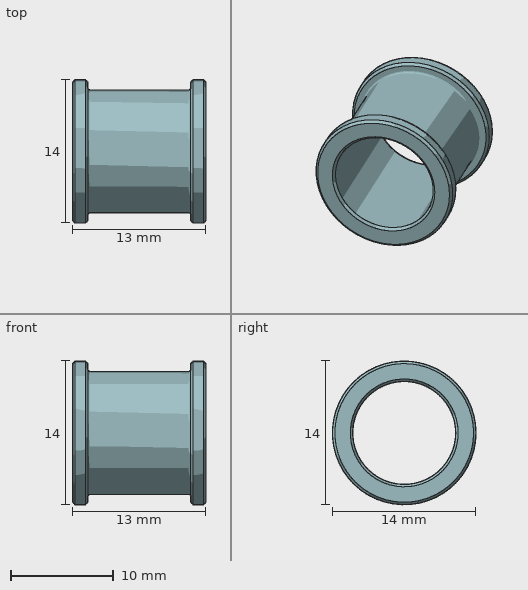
import cadquery as cq

length = 13.0
flange_diameter = 14.0
flange_width = 1.5
barrel_diameter = 12.0
bore_diameter = 10.0
flange_chamfer = 0.25
bore_chamfer = 0.25
root_fillet = 0.2
tolerance = 1e-6


def cylinder_along_x(diameter, width, start):
    """Solid cylinder of the given width, starting at x = start."""
    return cq.Workplane("YZ").workplane(start).circle(diameter / 2).extrude(width)


def flange(start):
    """End flange with both rim edges chamfered."""
    return cylinder_along_x(flange_diameter, flange_width, start).edges("%CIRCLE").chamfer(flange_chamfer)


def is_flange_root(edge):
    """True for the circles where the barrel meets a flange."""
    return abs(edge.radius() - barrel_diameter / 2) < tolerance


left_end = -length / 2
body = cylinder_along_x(barrel_diameter, length - 2 * flange_width, left_end + flange_width)
for flange_start in (left_end, length / 2 - flange_width):
    body = body.union(flange(flange_start))

roots = body.edges("%CIRCLE").filter(is_flange_root)
body = body.newObject(roots.vals()).fillet(root_fillet)

bore = cylinder_along_x(bore_diameter, length, left_end)
body = body.cut(bore)
mouths = cq.selectors.RadiusNthSelector(0)
result = body.faces("<X or >X").edges(mouths).chamfer(bore_chamfer)